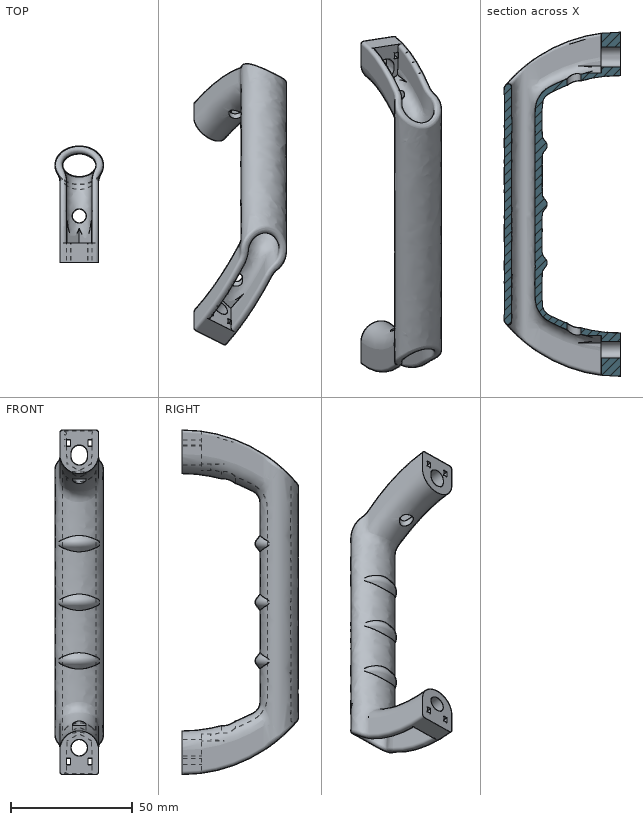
import cadquery as cq
import math

height = 142.0
half_height = height / 2
depth = 48.0
arch_radius = 61.9

grip_width = 20.0
grip_thickness = 15.9
grip_wall = 3.1
grip_y = depth - grip_thickness / 2
grip_front_y = depth - grip_thickness

arm_width = 16.0
arm_depth = 18.0
arm_wall = 2.8
arm_round_depth = arm_depth - arm_width / 2
overshoot = 7.1

rim_fillet = 1.3
junction_fillet = 5.0
inner_junction_fillet = 11.4
blend_zone_depth = 4.3
blend_zone_height = 7.1
blend_zone_margin = 1.4

block_thickness = 8.0
screw_diameter = 6.7
screw_depth = 11.1
slot_shift = 1.4
hex_across_flats = 10.0
hex_length = 11.4
pin_width = 1.7
pin_height = 2.5
pin_depth = 5.4
pin_spacing = 9.0
drain_diameter = 5.7
drain_y = 19.2

rib_pitch = 24.1
rib_radius = 9.2
rib_y = 39.3
rib_root_radius = 7.1
rib_root_half = 3.5
rib_tip_half = 1.7
rib_shoulder_radius = 8.5


def arch_z(y):
    """Height of the upper arm's outer surface at a given Y."""
    return half_height - arch_radius + math.sqrt(arch_radius**2 - y**2)


def mirrored(solid):
    """Solid joined with its mirror image about the middle of the grip."""
    return solid.union(solid.mirror("XY"))


def arm_sweep(width, y_start):
    """Upper U-section of the given width, kept upright while it follows the arch to the grip."""
    radius = width / 2
    y_middle = (y_start + grip_y) / 2
    path = (
        cq.Workplane("YZ")
        .moveTo(y_start, arch_z(y_start))
        .threePointArc((y_middle, arch_z(y_middle)), (grip_y, arch_z(grip_y)))
    )
    section = (
        cq.Workplane("XZ", origin=(0, y_start, arch_z(y_start)))
        .moveTo(-radius, overshoot)
        .lineTo(-radius, -arm_round_depth)
        .threePointArc((0, -arm_round_depth - radius), (radius, -arm_round_depth))
        .lineTo(radius, overshoot)
        .close()
    )
    return section.sweep(path, normal=cq.Vector(0, 1, 0))


def tube(wall):
    """Elliptical bar along the grip, inset by the given wall."""
    return (
        cq.Workplane("XY", origin=(0, grip_y, -half_height))
        .ellipse(grip_width / 2 - wall, grip_thickness / 2 - wall)
        .extrude(height)
    )


def arch_envelope():
    """Side outline of the handle, bounded above and below by the arches."""
    y_middle = depth / 2
    return (
        cq.Workplane("YZ")
        .moveTo(0, half_height)
        .threePointArc((y_middle, arch_z(y_middle)), (depth, arch_z(depth)))
        .lineTo(depth, -arch_z(depth))
        .threePointArc((y_middle, -arch_z(y_middle)), (0, -half_height))
        .close()
        .extrude(grip_width, both=True)
    )


def blend_junctions(body, front_y, width, radius):
    """Round the curved edges where an arm of the given width meets the grip under its round side."""
    lowest_z = arch_z(front_y) - arm_round_depth - width / 2
    for side in (-1, 1):
        zone = cq.selectors.BoxSelector(
            (-width / 2, front_y, side * (lowest_z - blend_zone_margin)),
            (width / 2, front_y + blend_zone_depth, side * (lowest_z + blend_zone_height)),
        )
        body = body.edges(zone).fillet(radius)
    return body


def shell_outside():
    """Solid handle with blended junctions between the grip and the arms."""
    body = tube(0).union(mirrored(arm_sweep(arm_width, 0))).intersect(arch_envelope())
    return blend_junctions(body, grip_front_y, arm_width, junction_fillet)


def shell_inside():
    """Hollow of the grip together with the channels of both arms."""
    channel_width = arm_width - 2 * arm_wall
    space = tube(grip_wall).union(mirrored(arm_sweep(channel_width, block_thickness)))
    return blend_junctions(space, grip_front_y + grip_wall, channel_width, inner_junction_fillet)


def finger_rib():
    """Ridge around the front half of the grip: a half disc with a rounded edge, fading out at the sides."""
    return (
        cq.Workplane("XZ", origin=(0, rib_y, 0))
        .moveTo(rib_root_radius, -rib_root_half)
        .lineTo(rib_shoulder_radius, -rib_tip_half)
        .threePointArc((rib_radius, 0), (rib_shoulder_radius, rib_tip_half))
        .lineTo(rib_root_radius, rib_root_half)
        .close()
        .revolve(180, (0, 0, 0), (0, -1, 0))
    )


def mount_plane(z):
    """Workplane on the mounting face; negative extrusions run into the part along +Y."""
    return cq.Workplane("XZ", origin=(0, 0, z))


def block_holes(side):
    """Screw hole, hexagonal recess and two pin holes of the upper (1) or lower (-1) block."""
    screw_z = side * (half_height - screw_depth)
    screw = mount_plane(screw_z).circle(screw_diameter / 2).extrude(-block_thickness)
    recess = (
        cq.Workplane("XZ", origin=(0, block_thickness, screw_z))
        .polygon(6, hex_across_flats, circumscribed=True)
        .extrude(-hex_length)
    )
    pins = (
        mount_plane(side * (half_height - pin_depth))
        .rarray(pin_spacing, 1.4, 2, 1)
        .rect(pin_width, pin_height)
        .extrude(-block_thickness)
    )
    return screw.union(recess).union(pins)


def slot_extension():
    """Lengthens the upper screw hole outward to a slot."""
    center_z = half_height - screw_depth + slot_shift / 2
    slot = mount_plane(center_z).slot2D(screw_diameter + slot_shift, screw_diameter, 90)
    return slot.extrude(-block_thickness)


result = shell_outside().cut(shell_inside())
result = result.faces("%CYLINDER").edges("not |X").fillet(rim_fillet)

for i in (-1, 0, 1):
    result = result.union(finger_rib().translate((0, 0, i * rib_pitch)))

for side in (-1, 1):
    result = result.cut(block_holes(side))
result = result.cut(slot_extension())

drain = cq.Workplane("XY", origin=(0, drain_y, 0)).circle(drain_diameter / 2)
result = result.cut(drain.extrude(half_height, both=True))